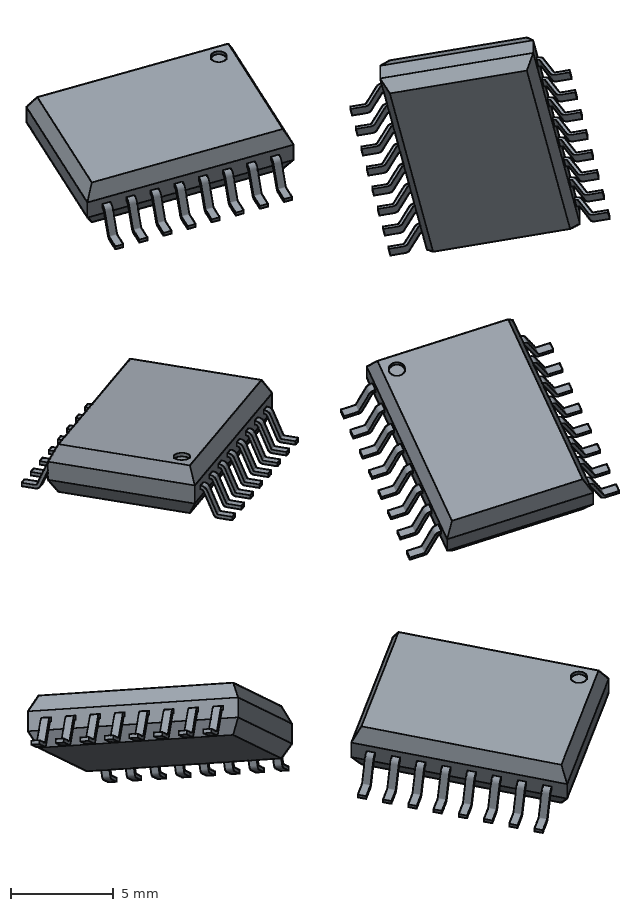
import cadquery as cq
import math

overall_width = 10.9
body_width = 7.61
body_length = 10.88
body_bottom = 0.22
belt_bottom = 0.99
belt_top = 1.97
body_top = 2.8
taper_inset = 0.4

leads_per_side = 8
lead_row_length = 8.89
lead_pitch = lead_row_length / (leads_per_side - 1)
lead_width = 0.43
lead_thickness = 0.2
lead_top = 1.6
shoulder_flat = 0.04
shoulder_inner_radius = 0.13
shoulder_outer_radius = shoulder_inner_radius + lead_thickness
ankle_inner_radius = 0.07
ankle_outer_radius = ankle_inner_radius + lead_thickness
leg_angle = math.radians(66.0)
lead_embed = 0.33

mark_diameter = 0.8
mark_depth = 0.2
mark_x = -2.69
mark_y = 4.24


def tapered_half(belt_z, face_z):
    """Frustum from the full belt outline to the smaller end face."""
    return (
        cq.Workplane("XY", origin=(0, 0, belt_z))
        .rect(body_width, body_length)
        .workplane(offset=face_z - belt_z)
        .rect(body_width - 2 * taper_inset, body_length - 2 * taper_inset)
        .loft(ruled=True)
    )


def make_body():
    belt = cq.Workplane("XY", origin=(0, 0, belt_bottom)).box(
        body_width, body_length, belt_top - belt_bottom, centered=(True, True, False)
    )
    return belt.union(tapered_half(belt_top, body_top)).union(tapered_half(belt_bottom, body_bottom))


def make_lead():
    """Lead on the +X side, centred on y = 0."""

    def on_bend(centre, radius, angle):
        """Point on a bend, with the angle measured from straight up."""
        return (centre[0] + radius * math.sin(angle), centre[1] + radius * math.cos(angle))

    body_side = body_width / 2
    shoulder_x = body_side + shoulder_flat
    tip_x = overall_width / 2
    root_x = body_side - lead_embed

    shoulder = (shoulder_x, lead_top - shoulder_outer_radius)
    ankle_z = ankle_outer_radius
    centre_reach = shoulder_outer_radius + ankle_inner_radius
    leg_drop = shoulder[1] - ankle_z + centre_reach * math.cos(leg_angle)
    ankle_x = shoulder_x + centre_reach * math.sin(leg_angle) + leg_drop / math.tan(leg_angle)
    ankle = (ankle_x, ankle_z)

    half_angle = leg_angle / 2
    up_leg = leg_angle + math.pi
    up_half = half_angle + math.pi
    profile = (
        cq.Workplane("XZ")
        .moveTo(root_x, lead_top)
        .lineTo(shoulder_x, lead_top)
        .threePointArc(
            on_bend(shoulder, shoulder_outer_radius, half_angle),
            on_bend(shoulder, shoulder_outer_radius, leg_angle),
        )
        .lineTo(*on_bend(ankle, ankle_inner_radius, up_leg))
        .threePointArc(
            on_bend(ankle, ankle_inner_radius, up_half),
            on_bend(ankle, ankle_inner_radius, math.pi),
        )
        .lineTo(tip_x, lead_thickness)
        .lineTo(tip_x, 0)
        .lineTo(ankle_x, 0)
        .threePointArc(
            on_bend(ankle, ankle_outer_radius, up_half),
            on_bend(ankle, ankle_outer_radius, up_leg),
        )
        .lineTo(*on_bend(shoulder, shoulder_inner_radius, leg_angle))
        .threePointArc(
            on_bend(shoulder, shoulder_inner_radius, half_angle),
            on_bend(shoulder, shoulder_inner_radius, 0),
        )
        .lineTo(root_x, lead_top - lead_thickness)
        .close()
    )
    return profile.extrude(lead_width / 2, both=True)


result = make_body()

right_lead = make_lead()
left_lead = right_lead.mirror("YZ")
for index in range(leads_per_side):
    lead_y = index * lead_pitch - lead_row_length / 2
    for lead in (left_lead, right_lead):
        result = result.union(lead.translate((0, lead_y, 0)))

pin_one_mark = (
    cq.Workplane("XY", origin=(mark_x, mark_y, body_top))
    .circle(mark_diameter / 2)
    .extrude(-mark_depth)
)
result = result.cut(pin_one_mark)